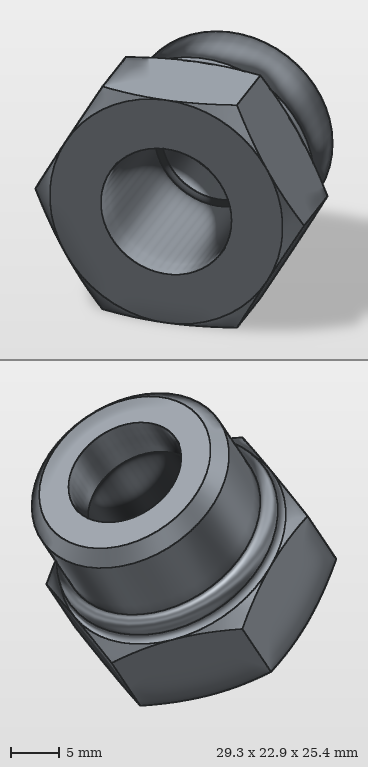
import cadquery as cq
import math

HEX_CORNERS = 29.33
HEX_FLATS = HEX_CORNERS * math.cos(math.radians(30))
HEX_LENGTH = 10.0
HEX_CHAMFER_ANGLE = 30.0

TOTAL_LENGTH = 22.85
GROOVE_WIDTH = 3.0
GROOVE_RADIUS = 9.77
SPIGOT_RADIUS = 11.1
SPIGOT_CHAMFER = 1.47

WIDE_BORE_RADIUS = 7.13
NARROW_BORE_RADIUS = 6.34
WIDE_BORE_DEPTH = 17.6

RING_OUTER_RADIUS = 12.32
RING_SECTION_RADIUS = (RING_OUTER_RADIUS - GROOVE_RADIUS) / 2
RING_CENTER_RADIUS = GROOVE_RADIUS + RING_SECTION_RADIUS
RING_Y = HEX_LENGTH + GROOVE_WIDTH / 2


def revolve_about_y(profile):
    """Turn a closed profile drawn in the XY plane about the Y axis."""
    return profile.revolve(360, (0, 0, 0), (0, 1, 0))


def cylinder(radius, start, end):
    """Cylinder on the Y axis between two Y positions."""
    return cq.Workplane("XZ", origin=(0, start, 0)).circle(radius).extrude(start - end)


def make_hex_head():
    """Hexagon with conical chamfers that start at the flats on both end faces."""
    prism = cq.Workplane("XZ").polygon(6, HEX_CORNERS).extrude(-HEX_LENGTH)
    face_radius = HEX_FLATS / 2
    corner_radius = HEX_CORNERS / 2
    drop = (corner_radius - face_radius) * math.tan(math.radians(HEX_CHAMFER_ANGLE))
    envelope = revolve_about_y(
        cq.Workplane("XY").polyline([
            (0, 0),
            (face_radius, 0),
            (corner_radius, drop),
            (corner_radius, HEX_LENGTH - drop),
            (face_radius, HEX_LENGTH),
            (0, HEX_LENGTH),
        ]).close()
    )
    return prism.intersect(envelope)


def make_spigot():
    """Groove neck and spigot with a chamfered free end."""
    spigot_start = HEX_LENGTH + GROOVE_WIDTH
    neck = cylinder(GROOVE_RADIUS, HEX_LENGTH, spigot_start)
    barrel = cylinder(SPIGOT_RADIUS, spigot_start, TOTAL_LENGTH).faces(">Y").chamfer(SPIGOT_CHAMFER)
    return neck.union(barrel)


def make_plug():
    """Hexagon head and spigot with the stepped through bore."""
    blank = make_hex_head().union(make_spigot())
    wide_bore = cylinder(WIDE_BORE_RADIUS, 0, WIDE_BORE_DEPTH)
    narrow_bore = cylinder(NARROW_BORE_RADIUS, 0, TOTAL_LENGTH)
    return blank.cut(wide_bore).cut(narrow_bore)


def make_sealing_ring():
    """O-ring seated in the groove."""
    section = cq.Workplane("XY").moveTo(RING_CENTER_RADIUS, RING_Y).circle(RING_SECTION_RADIUS)
    return revolve_about_y(section)


plug = make_plug()
sealing_ring = make_sealing_ring()

result = cq.Compound.makeCompound([plug.val(), sealing_ring.val()])